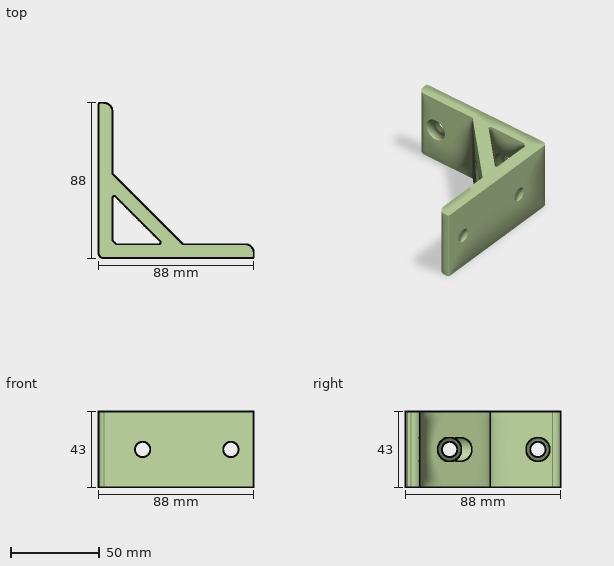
import cadquery as cq
import math

leg_length = 88.0
height = 43.0
wall = 8.0
corner_radius = 3.0
tip_outer_radius = 1.0
tip_inner_radius = 5.0

web_reach = 55.9
web_thickness = wall
pocket_reach = web_reach - web_thickness * math.sqrt(2)
pocket_corner_chamfer = 2.0
pocket_tip_radius = 1.0

hole_diameter = 8.5
counterbore_diameter = 13.5
counterbore_floor = 3.0
inner_hole_position = 25.0
outer_hole_position = 75.0



def right_triangle(reach):
    """Prism filling the inside corner of the legs up to the line x + y = reach."""
    side = reach - wall
    return (
        cq.Workplane("XY")
        .polyline([(wall, wall), (side, wall), (wall, side)])
        .close()
        .extrude(height)
    )


def legs():
    """L-shaped profile with rounded outer corner and leg tips."""
    corners = [
        (0, 0),
        (leg_length, 0),
        (leg_length, wall),
        (wall, wall),
        (wall, leg_length),
        (0, leg_length),
    ]
    body = cq.Workplane("XY").polyline(corners).close().extrude(height)
    rounds = [
        (0, 0, corner_radius),
        (leg_length, 0, tip_outer_radius),
        (0, leg_length, tip_outer_radius),
        (leg_length, wall, tip_inner_radius),
        (wall, leg_length, tip_inner_radius),
    ]
    for x, y, radius in rounds:
        edge = cq.selectors.NearestToPointSelector((x, y, height / 2))
        body = body.edges("|Z").edges(edge).fillet(radius)
    return body


def pocket():
    """Triangular opening between the legs and the web."""
    square_corner = cq.selectors.NearestToPointSelector((wall, wall, height / 2))
    return (
        right_triangle(pocket_reach)
        .edges("|Z")
        .edges(square_corner)
        .chamfer(pocket_corner_chamfer)
        .edges("|Z and (>X or >Y)")
        .fillet(pocket_tip_radius)
    )


def drill(direction, position, diameter, start, length):
    """Cylinder at mid-height of a leg, running along X or Y from start."""
    if direction == "X":
        origin = cq.Vector(start, position, height / 2)
        axis = cq.Vector(1, 0, 0)
    else:
        origin = cq.Vector(position, start, height / 2)
        axis = cq.Vector(0, 1, 0)
    return cq.Solid.makeCylinder(diameter / 2, length, origin, axis)


result = legs().union(right_triangle(web_reach)).cut(pocket())

for direction in ("X", "Y"):
    for position in (inner_hole_position, outer_hole_position):
        result = result.cut(drill(direction, position, hole_diameter, 0, wall))
        bore = drill(direction, position, counterbore_diameter, counterbore_floor, leg_length)
        result = result.cut(bore)